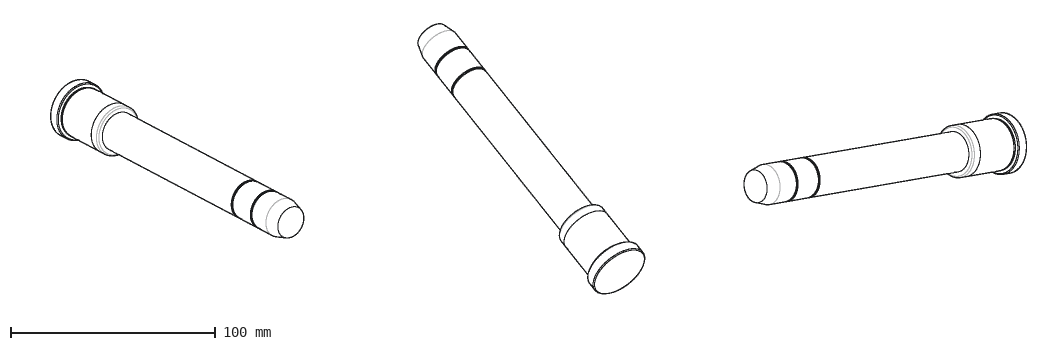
import cadquery as cq
import math

LENGTH = 171.0

HEAD_DIAMETER = 30.0
HEAD_LENGTH = 6.0
HEAD_CHAMFER = 0.5

SHOULDER_DIAMETER = 26.0
SHOULDER_END = 35.0
SHOULDER_FILLET = 0.9
RELIEF_DIAMETER = 25.5
RELIEF_WIDTH = 1.0
LEAD_LENGTH = 5.0
LEAD_UNDERSIZE = 0.03

SHANK_DIAMETER = 20.0
TIP_LENGTH = 7.0
TIP_HALF_ANGLE = 15.0
GROOVE_WIDTH = 0.9
GROOVE_DEPTH = 0.3
GROOVE_PITCH = 15.0
LAST_GROOVE_START = 151.7


def rod(diameter, start, end):
    """Solid cylinder along X between two stations."""
    return cq.Workplane("YZ", origin=(start, 0, 0)).circle(diameter / 2).extrude(end - start)


def make_head():
    return rod(HEAD_DIAMETER, 0, HEAD_LENGTH).edges().chamfer(HEAD_CHAMFER)


def make_shoulder():
    relief_end = HEAD_LENGTH + RELIEF_WIDTH
    lead_start = SHOULDER_END - LEAD_LENGTH
    lead = rod(SHOULDER_DIAMETER - LEAD_UNDERSIZE, lead_start, SHOULDER_END)
    lead = lead.edges(">X").fillet(SHOULDER_FILLET)
    relief = rod(RELIEF_DIAMETER, HEAD_LENGTH, relief_end)
    body = rod(SHOULDER_DIAMETER, relief_end, lead_start)
    return relief.union(body).union(lead)


def make_shank():
    shank = rod(SHANK_DIAMETER, SHOULDER_END, LENGTH)
    tip_drop = TIP_LENGTH * math.tan(math.radians(TIP_HALF_ANGLE))
    shank = shank.faces(">X").chamfer(TIP_LENGTH, tip_drop)
    for start in (LAST_GROOVE_START - GROOVE_PITCH, LAST_GROOVE_START):
        end = start + GROOVE_WIDTH
        core = rod(SHANK_DIAMETER - 2 * GROOVE_DEPTH, start, end)
        shank = shank.cut(rod(SHANK_DIAMETER, start, end).cut(core))
    return shank


result = make_head().union(make_shoulder()).union(make_shank())